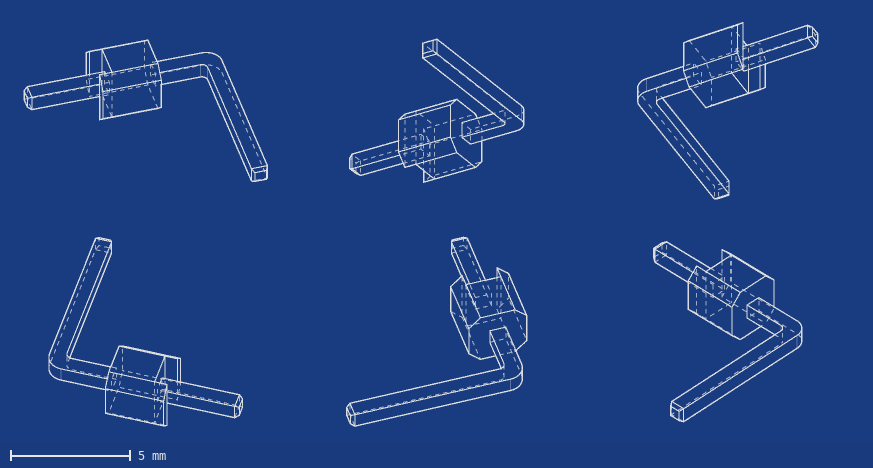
import cadquery as cq

pitch = 2.54
body_chamfer = pitch / 5
channel_width = pitch - 2 * body_chamfer
channel_depth = 0.54

pin_width = 0.7
front_reach = 3.0
overall_x = 8.62
overall_y = 8.45
outer_bend_radius = 0.7
inner_bend_radius = 0.25
tip_length = 0.17
tip_inset = 0.1

half_pitch = pitch / 2
half_pin = pin_width / 2
pin_front = -half_pitch - front_reach
pin_back = pin_front + overall_y
pin_right = overall_x - half_pitch


def make_body():
    """Octagonal block with the channel cut across its front end."""
    block = cq.Workplane("XY").box(pitch, pitch, pitch).edges("|Y").chamfer(body_chamfer)
    channel = (
        cq.Workplane("XY")
        .box(channel_width, channel_depth, pitch)
        .translate((0, (channel_depth - pitch) / 2, 0))
    )
    return block.cut(channel)


def make_tip(end_plane):
    """Tapered end of the pin, growing along the normal of the given plane."""
    end_width = pin_width - 2 * tip_inset
    return (
        cq.Workplane(end_plane)
        .rect(pin_width, pin_width)
        .workplane(offset=tip_length)
        .rect(end_width, end_width)
        .loft(ruled=True)
    )


def make_pin():
    """L-shaped square pin with a rounded bend and two tapered tips."""
    front_shoulder = pin_front + tip_length
    right_shoulder = pin_right - tip_length
    bar = (
        cq.Workplane("XY")
        .workplane(offset=-half_pin)
        .moveTo(-half_pin, front_shoulder)
        .lineTo(half_pin, front_shoulder)
        .lineTo(half_pin, pin_back - pin_width)
        .lineTo(right_shoulder, pin_back - pin_width)
        .lineTo(right_shoulder, pin_back)
        .lineTo(-half_pin, pin_back)
        .close()
        .extrude(pin_width)
    )
    outer_corner = cq.selectors.NearestToPointSelector((-half_pin, pin_back, 0))
    inner_corner = cq.selectors.NearestToPointSelector((half_pin, pin_back - pin_width, 0))
    bar = bar.edges("|Z").edges(outer_corner).fillet(outer_bend_radius)
    bar = bar.edges("|Z").edges(inner_corner).fillet(inner_bend_radius)

    front_end = cq.Plane(origin=(0, front_shoulder, 0), xDir=(1, 0, 0), normal=(0, -1, 0))
    right_end = cq.Plane(origin=(right_shoulder, pin_back - half_pin, 0), xDir=(0, 1, 0), normal=(1, 0, 0))
    return bar.union(make_tip(front_end)).union(make_tip(right_end))


result = make_body().union(make_pin())